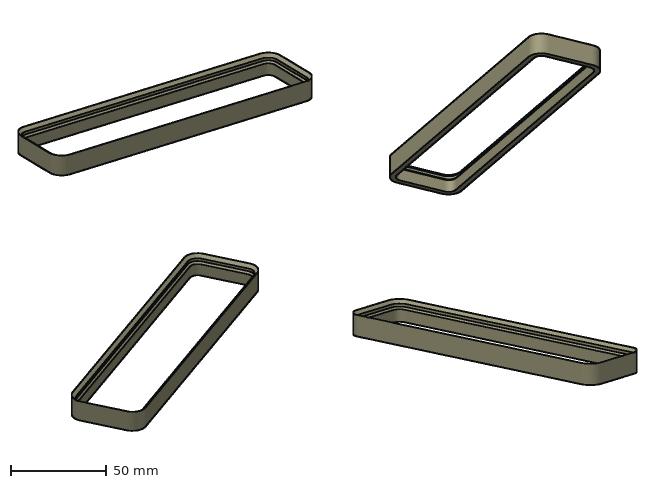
import cadquery as cq

WIDTH = 41.5
LENGTH = 167.5
HEIGHT = 11.7
CORNER_RADIUS = 7.5

UPPER_BEVEL = 2.0
STEP_HEIGHT = 1.7
LOWER_BEVEL = 1.2
WALL = UPPER_BEVEL + LOWER_BEVEL


def rounded_prism(inset, bottom, top):
    """Rounded block whose sides lie inside the frame's outer sides by inset."""
    return (
        cq.Workplane("XY")
        .workplane(offset=bottom)
        .rect(WIDTH - 2 * inset, LENGTH - 2 * inset)
        .extrude(top - bottom)
        .edges("|Z")
        .fillet(CORNER_RADIUS - inset)
    )


def rounded_wire(inset, height):
    """Closed upper outline of a rounded block at the given inset and height."""
    return rounded_prism(inset, 0, height).faces(">Z").wires().val()


def bevel_cutter(inset, top, size):
    """Tapered block that narrows downward at 45 degrees by the given size."""
    upper = rounded_wire(inset, top)
    lower = rounded_wire(inset + size, top - size)
    return cq.Workplane(cq.Solid.makeLoft([lower, upper], True))


step_top = HEIGHT - UPPER_BEVEL
step_bottom = step_top - STEP_HEIGHT

frame = rounded_prism(0, 0, HEIGHT)
opening = rounded_prism(WALL, 0, HEIGHT)
step = rounded_prism(UPPER_BEVEL, step_bottom, HEIGHT)

result = (
    frame.cut(opening)
    .cut(step)
    .cut(bevel_cutter(0, HEIGHT, UPPER_BEVEL))
    .cut(bevel_cutter(UPPER_BEVEL, step_bottom, LOWER_BEVEL))
)